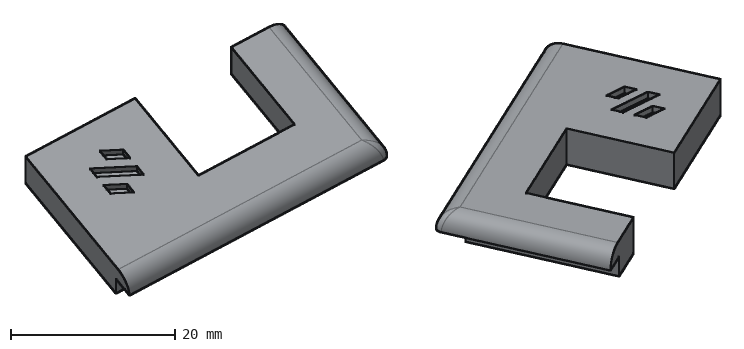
import cadquery as cq
import math

body_width = 20.0
body_length = 35.0
body_height = 5.5

lip_overhang = 3.0
lip_thickness = 2.5
lip_corner_radius = 1.0
overall_width = body_width + lip_overhang
overall_length = body_length + lip_overhang

notch_size = 14.0
notch_start_y = 16.0

pin_x = 17.0
pin_y = 27.0
pin_diameter = 2.8
pin_length = 1.75
pin_round = 1.0

pocket_width = 1.52
pocket_short = 2.47
pocket_pitch = 3.0
pocket_depth = 1.0
pocket_lean = math.radians(30)
pocket_group_x = 5.85
pocket_group_y = 5.55


def make_lip():
    """Plate with quarter-round outer edges and a softened corner."""
    flat_width = overall_width - lip_thickness
    flat_length = overall_length - lip_thickness
    lip_bottom = body_height - lip_thickness
    side_profile = (
        cq.Workplane("XZ")
        .moveTo(0, lip_bottom)
        .lineTo(overall_width, lip_bottom)
        .radiusArc((flat_width, body_height), -lip_thickness)
        .lineTo(0, body_height)
        .close()
        .extrude(-overall_length)
    )
    end_profile = (
        cq.Workplane("YZ")
        .moveTo(0, lip_bottom)
        .lineTo(overall_length, lip_bottom)
        .radiusArc((flat_length, body_height), -lip_thickness)
        .lineTo(0, body_height)
        .close()
        .extrude(overall_width)
    )
    lip = side_profile.intersect(end_profile)

    mitre_middle = (
        overall_width - lip_thickness / 2,
        overall_length - lip_thickness / 2,
        body_height,
    )
    mitre = cq.selectors.NearestToPointSelector(mitre_middle)
    return lip.edges(mitre).fillet(lip_corner_radius)


def make_notch():
    return (
        cq.Workplane("XY")
        .moveTo(0, notch_start_y)
        .rect(notch_size, notch_size, centered=False)
        .extrude(body_height)
    )


def make_pin():
    return (
        cq.Workplane("XY")
        .center(pin_x, pin_y)
        .circle(pin_diameter / 2)
        .extrude(-pin_length)
        .faces("<Z")
        .edges()
        .fillet(pin_round)
    )


def make_pocket(x, y, length):
    """Parallelogram pocket with its lower left corner at (x, y), leaning to +X."""
    lean = length * math.tan(pocket_lean)
    return (
        cq.Workplane("XY")
        .workplane(offset=body_height)
        .moveTo(x, y)
        .line(pocket_width, 0)
        .line(lean, length)
        .line(-pocket_width, 0)
        .close()
        .extrude(-pocket_depth)
    )


body = cq.Workplane("XY").rect(body_width, body_length, centered=False).extrude(body_height)
result = body.union(make_lip()).cut(make_notch()).union(make_pin())

half_lean = pocket_short * math.tan(pocket_lean)
upper_left_x = pocket_group_x + half_lean - pocket_pitch
pockets = [
    (upper_left_x, pocket_group_y + pocket_short, pocket_short),
    (pocket_group_x, pocket_group_y, 2 * pocket_short),
    (pocket_group_x + pocket_pitch, pocket_group_y, pocket_short),
]
for x, y, length in pockets:
    result = result.cut(make_pocket(x, y, length))